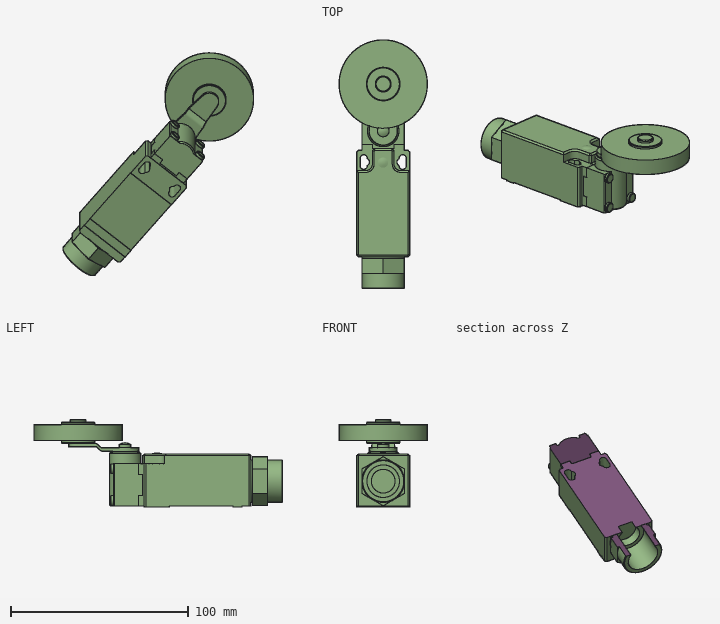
import cadquery as cq
import math


housing_width = 30.0
housing_length = 60.25
housing_top = 30.0
housing_bottom = 0.5
housing_chamfer = 1.0
rear_foot_start = 46.0
front_foot_start = 5.0
front_foot_length = 5.2
shelf_top = 24.5
shelf_front = 48.7
tongue_width = 12.2
tongue_end = 61.1
tongue_root_radius = 3.8
slot_width = 3.9
slot_length = 8.2
slot_x = 11.0
keyhole_x = 9.9
keyhole_radius = 2.1
slot_y = 53.55
button_y = 53.1
button_radius = 2.9
button_height = 0.5
ear_size = 6.0
ear_end = 63.6

gland_z = 14.6
gland_radius = 12.0
gland_length = 17.9
gland_collar = 0.8
hex_across_flats = 24.0
hex_length = 8.6
gland_bore_radius = 9.2
gland_tip_chamfer = 0.4
cable_hole_radius = 6.7
cable_hole_depth = 5.0

head_width = 24.0
head_end = 77.5
head_chamfer = 0.5
turret_y = 71.1
turret_radius = 8.9
turret_top = 31.0
turret_chamfer = 0.8
spindle_collar_radius = 7.0
spindle_radius = 3.3
spindle_shoulder = 35.2
spindle_top = 36.3
screw_radius = 2.8
screw_head_height = 1.8
screw_edge_chamfer = 0.4
screw_x = 9.3
screw_z_values = (3.6, 21.6)

lever_bottom = 31.4
lever_thickness = 2.1
lever_rise = 2.5
lever_root_radius = 7.9
lever_tip_radius = 5.3
bend_start = 84.5
bend_end = 87.2
bend_radius = lever_thickness

roller_y = 97.6
roller_radius = 25.0
roller_bottom = 37.5
roller_width = 9.0
hub_radius = 9.5
hub_top = 47.9
hub_chamfer = 0.4
axle_radius = 4.5
axle_top = 49.5
axle_chamfer = 0.5

lever_tip_top = lever_bottom + lever_thickness + lever_rise


def block(x_range, y_range, z_range):
    """Box spanning the given (low, high) ranges."""
    size = [high - low for low, high in (x_range, y_range, z_range)]
    return cq.Workplane("XY").box(*size, centered=False).translate((x_range[0], y_range[0], z_range[0]))


def disc(radius, y, bottom, top):
    """Upright cylinder on the symmetry plane."""
    return cq.Workplane("XY", origin=(0, y, bottom)).circle(radius).extrude(top - bottom)


def dome(radius, height, y, bottom):
    """Shallow spherical cap standing on a flat circle of the given radius."""
    sphere_radius = (radius**2 + height**2) / (2 * height)
    mid_angle = math.asin(radius / sphere_radius) / 2
    mid_point = (
        sphere_radius * math.sin(mid_angle),
        height - sphere_radius * (1 - math.cos(mid_angle)),
    )
    return (
        cq.Workplane("XZ", origin=(0, y, bottom))
        .lineTo(radius, 0)
        .threePointArc(mid_point, (0, height))
        .close()
        .revolve(360, (0, 0, 0), (0, 1, 0))
    )


def gland_cylinder(radius, y_start, y_end):
    """Cylinder on the gland axis, from y_start towards -Y down to y_end."""
    return cq.Workplane("XZ", origin=(0, y_start, gland_z)).circle(radius).extrude(y_start - y_end)


def housing_base():
    """Full-width box below the shelf, with its vertical corners chamfered and two feet."""
    half_width = housing_width / 2
    base = block((-half_width, half_width), (0, housing_length), (0, shelf_top))
    base = base.edges("|Z").chamfer(housing_chamfer)
    front_foot_end = front_foot_start + front_foot_length
    clearances = ((0, front_foot_start), (front_foot_end, rear_foot_start))
    for y_range in clearances:
        base = base.cut(block((-half_width, half_width), y_range, (0, housing_bottom)))
    return base


def housing_cover():
    """Raised top narrowing to a tongue at the head end, its end corners and top edges chamfered."""
    half_width = housing_width / 2
    half_tongue = tongue_width / 2
    cover = (
        cq.Workplane("XY", origin=(0, 0, shelf_top))
        .moveTo(-half_width, 0)
        .lineTo(half_width, 0)
        .lineTo(half_width, shelf_front)
        .lineTo(half_tongue, shelf_front)
        .lineTo(half_tongue, tongue_end)
        .lineTo(-half_tongue, tongue_end)
        .lineTo(-half_tongue, shelf_front)
        .lineTo(-half_width, shelf_front)
        .close()
        .extrude(housing_top - shelf_top)
    )
    root_box = cq.selectors.BoxSelector(
        (-half_tongue - 1, shelf_front - 1, shelf_top - 1),
        (half_tongue + 1, shelf_front + 1, housing_top + 1),
    )
    cover = cover.edges("|Z").edges(root_box).fillet(tongue_root_radius)
    cover = cover.edges("|Z and (<Y or >Y)").chamfer(housing_chamfer)
    return cover.faces(">Z").edges().chamfer(housing_chamfer)


def head_flange():
    """Thin pad behind the housing with four corner ears that clasp the head."""
    half_head = head_width / 2
    flange = block((-half_head, half_head), (housing_length, tongue_end), (housing_bottom, shelf_top))
    return flange.union(corner_ears())


def corner_ears():
    """Four square ears at the corners of the head section."""
    half_head = head_width / 2
    ears = cq.Workplane("XY")
    for x_low in (-half_head, half_head - ear_size):
        for z_low in (housing_bottom, shelf_top - ear_size):
            ear = block((x_low, x_low + ear_size), (housing_length, ear_end), (z_low, z_low + ear_size))
            ears = ears.add(ear)
    return ears.combine()


def mounting_slots():
    """Two upright slots, each widened on its inner side by a round lobe."""
    slots = (
        cq.Workplane("XY")
        .pushPoints([(-slot_x, slot_y), (slot_x, slot_y)])
        .slot2D(slot_length, slot_width, 90)
        .extrude(housing_top)
    )
    lobes = (
        cq.Workplane("XY")
        .pushPoints([(-keyhole_x, slot_y), (keyhole_x, slot_y)])
        .circle(keyhole_radius)
        .extrude(housing_top)
    )
    return slots.union(lobes)


housing = (
    housing_base()
    .union(housing_cover())
    .union(head_flange())
    .cut(mounting_slots())
    .cut(gland_cylinder(cable_hole_radius, cable_hole_depth, 0))
    .union(dome(button_radius, button_height, button_y, housing_top))
)

gland_tube = gland_cylinder(gland_radius, 0, -gland_length).faces("<Y").edges().chamfer(gland_tip_chamfer)
gland_hex = (
    cq.Workplane("XZ", origin=(0, -gland_collar, gland_z))
    .polygon(6, hex_across_flats / math.cos(math.pi / 6))
    .extrude(hex_length)
    .rotate((0, 0, gland_z), (0, 1, gland_z), 30)
)
gland = gland_tube.union(gland_hex).cut(gland_cylinder(gland_bore_radius, 0, -gland_length))


def head_block():
    """Block behind the housing, notched at its corners for the housing ears."""
    half_head = head_width / 2
    body = block((-half_head, half_head), (tongue_end, head_end), (housing_bottom, shelf_top))
    body = body.edges("|Z and >Y").chamfer(head_chamfer)
    return body.cut(corner_ears())


def turret():
    """Full-height barrel that bulges out of the back and carries the spindle."""
    barrel = disc(turret_radius, turret_y, housing_bottom, turret_top)
    return barrel.faces("<Z or >Z").edges().chamfer(turret_chamfer)


def spindle():
    """Collar under the lever and domed pin through it."""
    collar = disc(spindle_collar_radius, turret_y, turret_top, lever_bottom)
    pin = disc(spindle_radius, turret_y, turret_top, spindle_shoulder)
    cap = dome(spindle_radius, spindle_top - spindle_shoulder, turret_y, spindle_shoulder)
    return collar.union(pin).union(cap)


def screw_heads():
    """Four screw heads on the back of the head."""
    heads = (
        cq.Workplane("XZ", origin=(0, head_end, 0))
        .pushPoints([(x, z) for x in (-screw_x, screw_x) for z in screw_z_values])
        .circle(screw_radius)
        .extrude(-screw_head_height)
    )
    return heads.faces(">Y").edges().chamfer(screw_edge_chamfer)


head = head_block().union(turret()).union(spindle()).union(screw_heads())


def lever_outline():
    """Plan shape: two rounded ends joined by their common tangents."""
    taper = math.asin((lever_root_radius - lever_tip_radius) / (roller_y - turret_y))
    root_x = lever_root_radius * math.cos(taper)
    root_y = turret_y + lever_root_radius * math.sin(taper)
    tip_x = lever_tip_radius * math.cos(taper)
    tip_y = roller_y + lever_tip_radius * math.sin(taper)
    return (
        cq.Workplane("XY", origin=(0, 0, lever_bottom))
        .moveTo(root_x, root_y)
        .lineTo(tip_x, tip_y)
        .threePointArc((0, roller_y + lever_tip_radius), (-tip_x, tip_y))
        .lineTo(-root_x, root_y)
        .threePointArc((0, turret_y - lever_root_radius), (root_x, root_y))
        .close()
        .extrude(lever_tip_top - lever_bottom)
    )


def lever_strip():
    """Side shape: a flat strip with one upward step, rounded outside each bend."""
    root_end = turret_y - lever_root_radius
    tip_end = roller_y + lever_tip_radius
    lower = [
        (root_end, lever_bottom),
        (bend_start, lever_bottom),
        (bend_end, lever_bottom + lever_rise),
        (tip_end, lever_bottom + lever_rise),
    ]
    upper = [(y, z + lever_thickness) for y, z in reversed(lower)]
    strip = (
        cq.Workplane("YZ")
        .polyline(lower + upper)
        .close()
        .extrude(lever_root_radius, both=True)
    )
    lower_bend = (0, bend_start, lever_bottom)
    upper_bend = (0, bend_end, lever_tip_top)
    for bend in (lower_bend, upper_bend):
        strip = strip.edges(cq.NearestToPointSelector(bend)).fillet(bend_radius)
    return strip


lever = lever_outline().intersect(lever_strip())
lever = lever.cut(disc(spindle_radius, turret_y, lever_bottom, lever_tip_top))

roller_hub = disc(hub_radius, roller_y, lever_tip_top, hub_top).faces("<Z or >Z").edges().chamfer(hub_chamfer)
axle_end = disc(axle_radius, roller_y, hub_top, axle_top).faces(">Z").edges().chamfer(axle_chamfer)
roller = (
    disc(roller_radius, roller_y, roller_bottom, roller_bottom + roller_width)
    .union(roller_hub)
    .union(axle_end)
)

result = cq.Compound.makeCompound([housing.val(), gland.val(), head.val(), lever.val(), roller.val()])